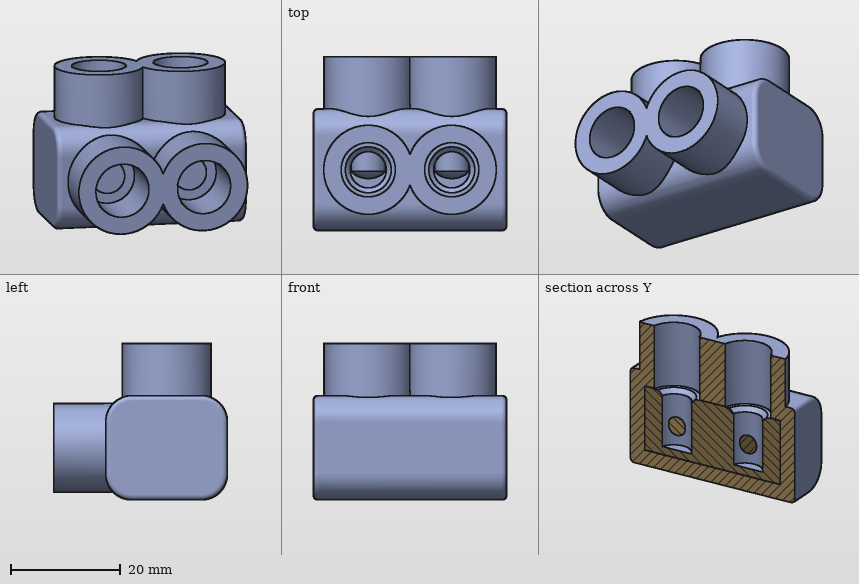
import cadquery as cq
import math


body_length = 35.306
body_depth = 22.225
body_height = 19.05
body_corner_radius = 4.7625
end_fillet = 0.9

port_spacing = 15.24
port_xs = [-port_spacing / 2, port_spacing / 2]
collar_radius = 8.128
collar_reach = 9.525
wall = 3.175
bore_radius = collar_radius - wall

block_length = body_length - 2 * wall
block_depth = body_depth - 2 * wall
block_height = body_height - 2 * wall
wire_hole_radius = 3.302
wire_entry_radius = 4.19
wire_entry_chamfer = wire_entry_radius - wire_hole_radius
wire_hole_floor = wall / 2
wire_hole_depth = block_height - wire_hole_floor

screw_radius = 3.125
screw_shank_end = -0.26
screw_cone_length = 0.53
screw_dome_base_radius = 2.6
screw_dome_height = 0.83


def top_cylinder(x, radius, start, length):
    """Vertical cylinder on a port axis, rising from height start."""
    return cq.Workplane("XY").center(x, 0).circle(radius).extrude(length).translate((0, 0, start))


def side_cylinder(x, radius, start, length):
    """Cylinder on a port axis, running toward +Y from position start."""
    return cq.Workplane("XZ").center(x, 0).circle(radius).extrude(-length).translate((0, start, 0))


def block_envelope():
    """Outer shape of the terminal block, also the shape of the cavity that holds it."""
    return cq.Workplane("XY").box(block_length, block_depth, block_height)


def make_housing():
    """Rounded body with two joined collars on top and two on the +Y side."""
    housing = cq.Workplane("XY").box(body_length, body_depth, body_height)
    housing = housing.edges("|X").fillet(body_corner_radius)
    housing = housing.faces("<X or >X").edges().fillet(end_fillet)

    top_collar_length = body_height / 2 + collar_reach
    side_collar_length = body_depth / 2 + collar_reach
    for x in port_xs:
        housing = housing.union(top_cylinder(x, collar_radius, 0, top_collar_length))
        housing = housing.union(side_cylinder(x, collar_radius, 0, side_collar_length))

    housing = housing.cut(block_envelope())
    for x in port_xs:
        housing = housing.cut(top_cylinder(x, bore_radius, 0, top_collar_length))
        housing = housing.cut(side_cylinder(x, bore_radius, 0, side_collar_length))
    return housing


def make_block():
    """Terminal block with chamfered blind wire holes, each crossed by a screw hole."""
    block = block_envelope()
    block_top = block_height / 2
    for x in port_xs:
        block = block.cut(top_cylinder(x, wire_hole_radius, block_top - wire_hole_depth, wire_hole_depth))
        entry = cq.Solid.makeCone(
            wire_hole_radius,
            wire_entry_radius,
            wire_entry_chamfer,
            pnt=cq.Vector(x, 0, block_top - wire_entry_chamfer),
        )
        block = block.cut(cq.Workplane(entry))
        block = block.cut(side_cylinder(x, screw_radius, 0, block_depth / 2))
    return block


def make_screw(x):
    """Oval-point set screw, flush with the block's +Y face, its tip past the wire hole axis."""
    head_y = block_depth / 2
    cone_end = screw_shank_end - screw_cone_length
    tip_y = cone_end - screw_dome_height
    dome_radius = (screw_dome_base_radius**2 + screw_dome_height**2) / (2 * screw_dome_height)
    half_angle = math.asin(screw_dome_base_radius / dome_radius) / 2
    dome_middle = (
        dome_radius * math.sin(half_angle),
        tip_y + dome_radius * (1 - math.cos(half_angle)),
    )
    profile = (
        cq.Workplane("XY")
        .moveTo(0, head_y)
        .lineTo(screw_radius, head_y)
        .lineTo(screw_radius, screw_shank_end)
        .lineTo(screw_dome_base_radius, cone_end)
        .threePointArc(dome_middle, (0, tip_y))
        .close()
    )
    return profile.revolve(360, (0, 0, 0), (0, 1, 0)).translate((x, 0, 0))


housing = make_housing()
block = make_block()
screws = [make_screw(x) for x in port_xs]

result = cq.Compound.makeCompound(
    [housing.solids().val(), block.solids().val(), *[screw.val() for screw in screws]]
)